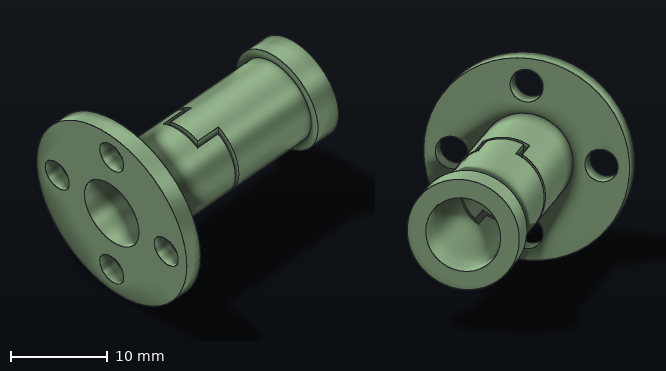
import cadquery as cq

overall_length = 27.0
tube_diameter = 10.0
bore_diameter = 8.0

flange_diameter = 22.0
flange_thickness = 2.0
bolt_hole_diameter = 3.5
bolt_circle_radius = 8.0
bolt_hole_count = 4

collar_diameter = 12.0
collar_thickness = 3.0

flanged_tube_end = 13.0
slot_width = 5.0
slot_depth = 3.0
tongue_width = 4.0
end_gap = 0.5

collared_tube_start = flanged_tube_end + end_gap
slot_floor = flanged_tube_end - slot_depth
tongue_tip = slot_floor + end_gap


def cylinder(diameter, start, end):
    """Solid cylinder on the Y axis between two Y positions."""
    return (
        cq.Workplane("XZ", origin=(0, start, 0))
        .circle(diameter / 2)
        .extrude(start - end)
    )


def cross_bar(width, start, end):
    """Block across the whole tube in Z, centred on X, between two Y positions."""
    return cq.Workplane("XY").box(width, end - start, 2 * tube_diameter).translate((0, (start + end) / 2, 0))


def make_flanged_tube():
    """Tube with a bolted flange and two opposite slots in its free end."""
    body = cylinder(flange_diameter, 0, flange_thickness)
    body = body.union(cylinder(tube_diameter, flange_thickness, flanged_tube_end))
    body = body.cut(cylinder(bore_diameter, 0, flanged_tube_end))

    bolt_holes = (
        cq.Workplane("XZ")
        .polarArray(bolt_circle_radius, 0, 360, bolt_hole_count)
        .circle(bolt_hole_diameter / 2)
        .extrude(-flange_thickness)
    )
    body = body.cut(bolt_holes)
    return body.cut(cross_bar(slot_width, slot_floor, flanged_tube_end))


def make_collared_tube():
    """Tube with an end collar and two opposite tongues reaching into the slots."""
    body = cylinder(tube_diameter, collared_tube_start, overall_length)
    body = body.union(cylinder(collar_diameter, overall_length - collar_thickness, overall_length))
    tongues = cylinder(tube_diameter, tongue_tip, collared_tube_start).intersect(
        cross_bar(tongue_width, tongue_tip, collared_tube_start)
    )
    body = body.union(tongues)
    return body.cut(cylinder(bore_diameter, tongue_tip, overall_length))


flanged_tube = make_flanged_tube()
collared_tube = make_collared_tube()

result = cq.Compound.makeCompound([flanged_tube.solids().val(), collared_tube.solids().val()])